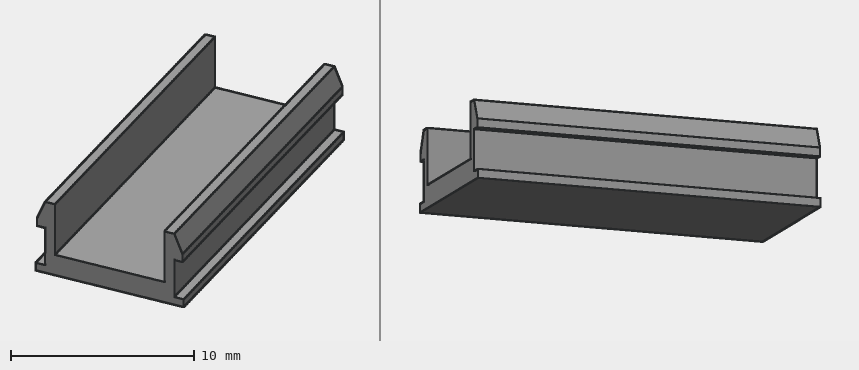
import cadquery as cq

base_width = 9.0
length = 20.0
height = 4.51

flange_thickness = 0.5
floor_height = 1.3
barb_bottom = 2.85
barb_height = 0.5
barb_shoulder = barb_bottom + barb_height

half_base = base_width / 2
channel_width = 6.65
half_channel = channel_width / 2
wall_thickness = 0.6
half_walls = half_channel + wall_thickness
barb_overhang = 0.5
half_barbs = half_walls + barb_overhang


def channel_section():
    """U-shaped section with base flanges and an outward barb on each wall."""
    right_side = [
        (half_base, 0),
        (half_base, flange_thickness),
        (half_walls, flange_thickness),
        (half_walls, barb_bottom),
        (half_barbs, barb_bottom),
        (half_barbs, barb_shoulder),
        (half_walls, height),
        (half_channel, height),
        (half_channel, floor_height),
    ]
    left_side = [(-x, z) for x, z in reversed(right_side)]
    return cq.Workplane("XZ").polyline(right_side + left_side).close()


result = channel_section().extrude(length / 2, both=True)